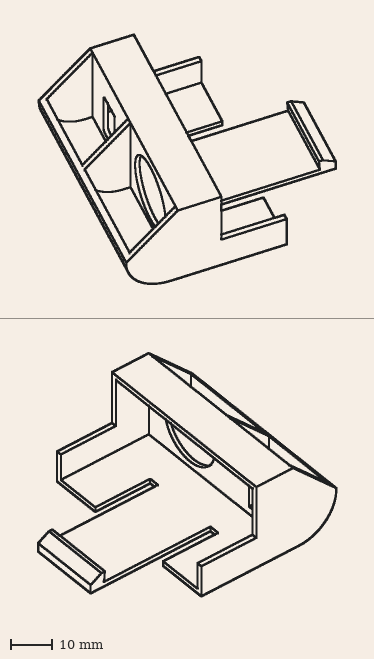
import cadquery as cq

width = 55.5
wall = 1.5
height = 25.5
front_height = 12.0
nose_radius = 11.55
block_front = height - front_height
block_back = 24.85
arm_back = 41.9
arm_height = 9.5

divider_left = 24.05
divider_right = divider_left + wall

panel_thickness = 1.2
hole_radius = 9.7
hole_x = 38.1
hole_z = 12.95
window_left = 8.45
window_width = 7.05
window_bottom = 3.85
window_top = 16.85
window_corner = 1.0

tongue_width = 20.2
tongue_gap = 2.9
tongue_thickness = wall
tongue_back = 62.0
hook_root = 57.85
hook_tip_front = 57.6
hook_tip_back = 58.65
hook_height = 4.65
hook_back_height = 2.65


def extrude_across(profile, left, right):
    """Extrude a closed YZ profile between two X positions."""
    return profile.extrude(right - left).translate((left, 0, 0))


def body_blank():
    arc_offset = nose_radius * 0.5 ** 0.5
    profile = (
        cq.Workplane("YZ")
        .moveTo(nose_radius, 0)
        .lineTo(arm_back, 0)
        .lineTo(arm_back, arm_height)
        .lineTo(block_back, arm_height)
        .lineTo(block_back, height)
        .lineTo(block_front, height)
        .lineTo(0, front_height)
        .lineTo(0, nose_radius)
        .threePointArc((nose_radius - arc_offset, nose_radius - arc_offset), (nose_radius, 0))
        .close()
    )
    return extrude_across(profile, 0, width)


def front_compartment(left, right):
    """Open pocket whose curved floor follows the rounded nose."""
    arc_offset = (nose_radius - wall) * 0.5 ** 0.5
    profile = (
        cq.Workplane("YZ")
        .moveTo(nose_radius, wall)
        .lineTo(block_front, wall)
        .lineTo(block_front, height)
        .lineTo(wall, height)
        .lineTo(wall, nose_radius)
        .threePointArc((nose_radius - arc_offset, nose_radius - arc_offset), (nose_radius, wall))
        .close()
    )
    return extrude_across(profile, left, right)


def rear_cavity():
    """Space behind the panel, open to the rear and above the arms."""
    depth = arm_back - block_front - panel_thickness
    return cq.Workplane("XY").box(
        width - 2 * wall, depth, height - 2 * wall, centered=False
    ).translate((wall, block_front + panel_thickness, wall))


def panel_openings():
    hole = (
        cq.Workplane("XZ", origin=(0, block_front, 0))
        .center(hole_x, hole_z)
        .circle(hole_radius)
        .extrude(-panel_thickness)
    )
    window = (
        cq.Workplane("XY")
        .box(window_width, panel_thickness, window_top - window_bottom, centered=False)
        .translate((window_left, block_front, window_bottom))
        .edges("|Y and <X")
        .fillet(window_corner)
    )
    return hole.union(window)


def tongue_clearance():
    """Opening in the floor that leaves a gap on both sides of the tongue."""
    return cq.Workplane("XY").box(
        tongue_width + 2 * tongue_gap, arm_back - block_back, wall, centered=False
    ).translate(((width - tongue_width) / 2 - tongue_gap, block_back, 0))


def tongue():
    left = (width - tongue_width) / 2
    profile = (
        cq.Workplane("YZ")
        .moveTo(block_back - wall, 0)
        .lineTo(tongue_back, 0)
        .lineTo(tongue_back, hook_back_height)
        .lineTo(hook_tip_back, hook_height)
        .lineTo(hook_tip_front, hook_height)
        .lineTo(hook_root, tongue_thickness)
        .lineTo(block_back - wall, tongue_thickness)
        .close()
    )
    return extrude_across(profile, left, left + tongue_width)


result = (
    body_blank()
    .cut(front_compartment(wall, divider_left))
    .cut(front_compartment(divider_right, width - wall))
    .cut(rear_cavity())
    .cut(panel_openings())
    .cut(tongue_clearance())
    .union(tongue())
    .clean()
)